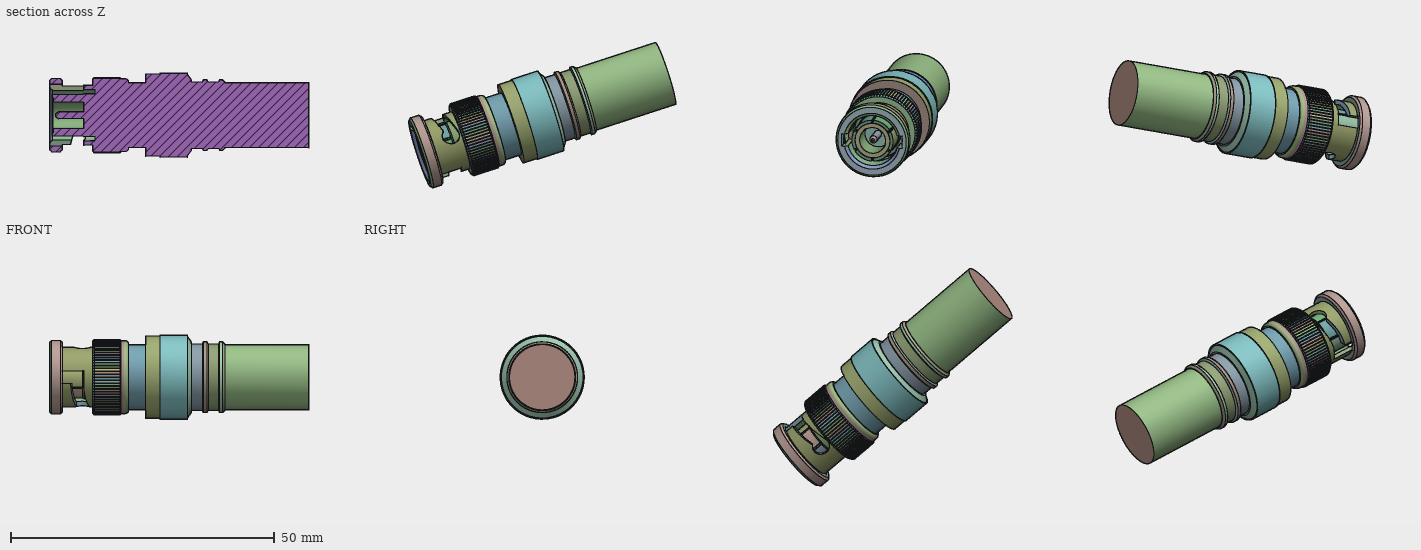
import cadquery as cq
import math


axis_start = (0, 0, 0)
axis_end = (1, 0, 0)
full_turn = 360

total_length = 49.26
max_diameter = 16.0

flange_radius = 7.0
flange_length = 2.46
flange_chamfer = 0.4
sleeve_radius = 5.7

knurl_start = 8.18
knurl_end = 13.6
knurl_radius = 7.2
knurl_chamfer = 0.35
knurl_count = 80
knurl_groove_depth = 0.2
knurl_groove_width = 0.14
collar_radius = 6.95
collar_flat_end = 14.2
collar_end = 15.04
collar_end_radius = 6.5
collar_round_bulge = 0.14

body_radius = 6.2
nut_start = 18.27
nut_step = 20.94
nut_end = 26.2
nut_front_step = 0.17
nut_radius = max_diameter / 2
nut_front_radius = nut_radius - nut_front_step
nut_cone_start_radius = 7.75
nut_cone_end_radius = 6.7
nut_cone_end = 26.95

neck_radius = 6.35
ridge_radius = 6.74
front_ridge = (29.0, 29.2, 29.86, 30.16)
rear_ridge = (32.1, 32.3, 32.83, 33.29)
barrel_radius = 6.2

mouth_radius = 5.42
socket_radius = 4.85
mouth_depth = 0.6
socket_depth = 8.6

tube_radius = 3.97
tube_front = 0.5
tube_collar_radius = 4.1
tube_collar_front = 6.28
tube_collar_cone_end = 6.55
tube_slot_count = 6
tube_slot_width = 0.36
tube_slot_floor_radius = 3.6
tube_rim_inner_radius = 3.36
insulator_recess = 0.2
insulator_bore_radius = 2.5
insulator_bore_depth = 6.0

pin_radius = 0.7
pin_tip_radius = 0.25
pin_tip = 1.1
pin_cone_length = 0.6

channel_width = 2.38
channel_end = 6.5
channel_outer = 5.84
lock_hole_x = 6.24
lock_hole_radius = 1.64
ramp_slope = 0.27
ramp_front_x = 5.5


def cylinder_along_x(start, end, radius):
    """Solid cylinder on the X axis."""
    return cq.Workplane("YZ", origin=(start, 0, 0)).circle(radius).extrude(end - start)


def make_outer_body():
    """Revolve the complete outside silhouette."""
    profile = (
        cq.Workplane("XY")
        .moveTo(0, 0)
        .lineTo(0, flange_radius - flange_chamfer)
        .lineTo(flange_chamfer, flange_radius)
        .lineTo(flange_length - flange_chamfer, flange_radius)
        .lineTo(flange_length, flange_radius - flange_chamfer)
        .lineTo(flange_length, sleeve_radius)
        .lineTo(knurl_start, sleeve_radius)
        .lineTo(knurl_start, knurl_radius - knurl_chamfer)
        .lineTo(knurl_start + knurl_chamfer, knurl_radius)
        .lineTo(knurl_end - (knurl_radius - collar_radius), knurl_radius)
        .lineTo(knurl_end, collar_radius)
        .lineTo(collar_flat_end, collar_radius)
        .sagittaArc((collar_end, collar_end_radius), collar_round_bulge)
        .lineTo(collar_end, body_radius)
        .lineTo(nut_start, body_radius)
        .lineTo(nut_start, nut_front_radius)
        .lineTo(nut_step, nut_front_radius)
        .lineTo(nut_step, nut_radius)
        .lineTo(nut_end, nut_radius)
        .lineTo(nut_end, nut_cone_start_radius)
        .lineTo(nut_cone_end, nut_cone_end_radius)
        .lineTo(nut_cone_end, neck_radius)
    )
    for base_start, crest_start, crest_end, base_end in (front_ridge, rear_ridge):
        profile = (
            profile.lineTo(base_start, neck_radius)
            .lineTo(crest_start, ridge_radius)
            .lineTo(crest_end, ridge_radius)
            .lineTo(base_end, neck_radius)
        )
    profile = (
        profile.lineTo(rear_ridge[-1], barrel_radius)
        .lineTo(total_length, barrel_radius)
        .lineTo(total_length, 0)
        .close()
    )
    return profile.revolve(full_turn, axis_start, axis_end)


def make_knurl_grooves():
    """V grooves spaced evenly around the grip."""
    groove = (
        cq.Workplane("YZ", origin=(knurl_start, 0, 0))
        .moveTo(-knurl_groove_width / 2, knurl_radius)
        .lineTo(0, knurl_radius - knurl_groove_depth)
        .lineTo(knurl_groove_width / 2, knurl_radius)
        .close()
        .extrude(knurl_end - knurl_start)
        .val()
    )
    step = full_turn / knurl_count
    return [groove.rotate(axis_start, axis_end, i * step) for i in range(knurl_count)]


def make_socket():
    """Tapered mouth running into the straight socket bore."""
    return (
        cq.Workplane("XY")
        .moveTo(0, 0)
        .lineTo(0, mouth_radius)
        .lineTo(mouth_depth, socket_radius)
        .lineTo(socket_depth, socket_radius)
        .lineTo(socket_depth, 0)
        .close()
        .revolve(full_turn, axis_start, axis_end)
    )


def make_bayonet_track():
    """Entry channel on +Y, ramp across the upper half and locking hole on +Z."""
    channel = cq.Workplane("XY").box(
        channel_end, channel_outer, channel_width, centered=(False, False, True)
    )
    lock_hole = (
        cq.Workplane("XY").center(lock_hole_x, 0).circle(lock_hole_radius).extrude(flange_radius)
    )
    slant = math.hypot(1, ramp_slope)
    tangent_x = lock_hole_x + lock_hole_radius / slant
    tangent_y = lock_hole_radius * ramp_slope / slant
    outer_shift = ramp_slope * channel_outer
    rear_outer_x = tangent_x - ramp_slope * (channel_outer - tangent_y)
    ramp = (
        cq.Workplane("XY", origin=(0, 0, channel_width / 2))
        .moveTo(lock_hole_x, 0)
        .lineTo(ramp_front_x, 0)
        .lineTo(ramp_front_x - outer_shift, channel_outer)
        .lineTo(rear_outer_x, channel_outer)
        .lineTo(tangent_x, tangent_y)
        .close()
        .extrude(flange_radius)
    )
    return channel.union(lock_hole).union(ramp)


def make_contact_tube():
    """Slotted tube with its insulator and centre pin."""
    tube = cylinder_along_x(tube_front, socket_depth, tube_radius)
    slot = (
        cq.Workplane("XY")
        .box(
            tube_collar_front - tube_front,
            tube_slot_width,
            tube_radius,
            centered=(False, True, False),
        )
        .translate((tube_front, 0, tube_slot_floor_radius))
    )
    for i in range(tube_slot_count):
        tube = tube.cut(slot.rotate(axis_start, axis_end, i * full_turn / tube_slot_count))
    collar = (
        cq.Workplane("XY")
        .moveTo(tube_collar_front, 0)
        .lineTo(tube_collar_front, tube_radius)
        .lineTo(tube_collar_cone_end, tube_collar_radius)
        .lineTo(socket_depth, tube_collar_radius)
        .lineTo(socket_depth, 0)
        .close()
        .revolve(full_turn, axis_start, axis_end)
    )
    tube = tube.union(collar)

    bore_end = tube_front + insulator_bore_depth
    tube = tube.cut(cylinder_along_x(tube_front, tube_front + insulator_recess, tube_rim_inner_radius))
    tube = tube.cut(cylinder_along_x(tube_front, bore_end, insulator_bore_radius))

    pin = (
        cq.Workplane("XY")
        .moveTo(pin_tip, 0)
        .lineTo(pin_tip, pin_tip_radius)
        .lineTo(pin_tip + pin_cone_length, pin_radius)
        .lineTo(socket_depth, pin_radius)
        .lineTo(socket_depth, 0)
        .close()
        .revolve(full_turn, axis_start, axis_end)
    )
    return tube.union(pin)


body = make_outer_body()
body = cq.Workplane(body.val().cut(*make_knurl_grooves()))
body = body.cut(make_socket())

track = make_bayonet_track()
for turn in (0, full_turn / 2):
    body = body.cut(track.rotate(axis_start, axis_end, turn))

result = body.union(make_contact_tube())